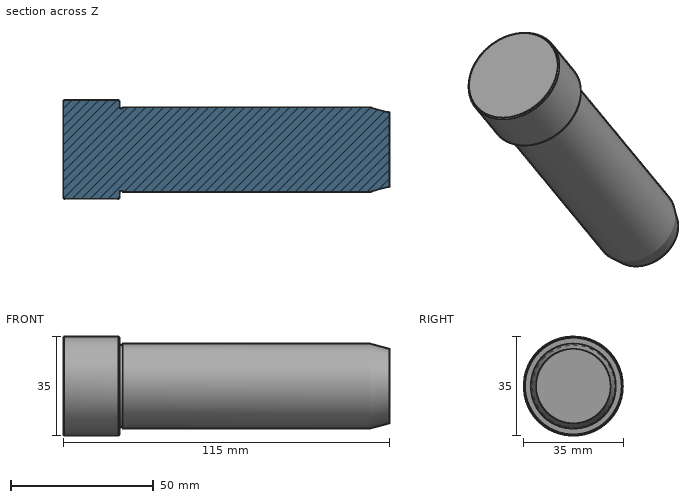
import cadquery as cq
import math

total_length = 115.0
head_diameter = 35.0
head_length = 20.0
head_chamfer = 0.5
shank_diameter = 30.0

groove_radius = 0.5

tip_length = 7.0
tip_angle = 15.0

head_start = -total_length / 2
head_end = head_start + head_length
shank_end = head_start + total_length
tip_start = shank_end - tip_length
groove_center = head_end + groove_radius
groove_end = groove_center + groove_radius

shank_radius = shank_diameter / 2
tip_radius = shank_radius - tip_length * math.tan(math.radians(tip_angle))


def make_head():
    """Cylindrical head with both rims chamfered."""
    head = cq.Workplane("YZ", origin=(head_start, 0, 0)).circle(head_diameter / 2).extrude(head_length)
    return head.faces("<X or >X").chamfer(head_chamfer)


def make_shank():
    """Relief groove, straight shank and tapered tip, revolved about X from one half profile."""
    profile = (
        cq.Workplane("XZ")
        .moveTo(head_end, 0)
        .lineTo(head_end, shank_radius)
        .threePointArc((groove_center, shank_radius - groove_radius), (groove_end, shank_radius))
        .lineTo(tip_start, shank_radius)
        .lineTo(shank_end, tip_radius)
        .lineTo(shank_end, 0)
        .close()
    )
    return profile.revolve(360, (0, 0, 0), (1, 0, 0))


result = make_head().union(make_shank())